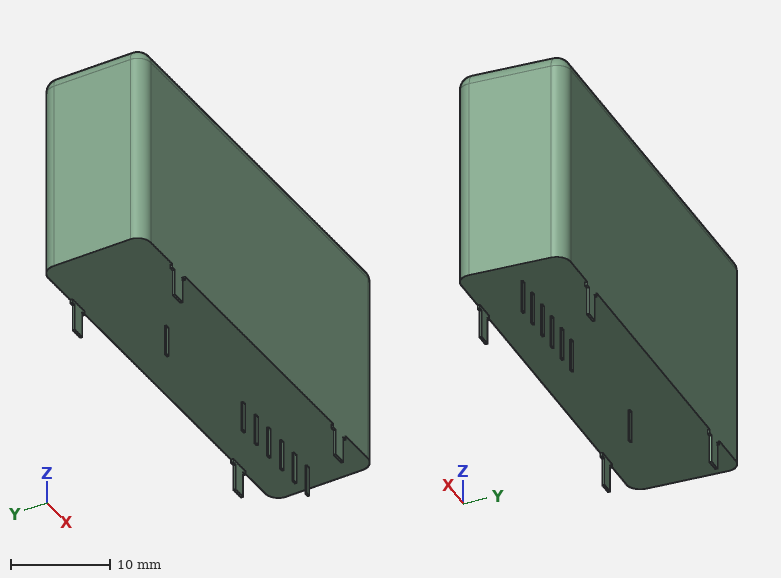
import cadquery as cq

length = 46.0
depth = 12.0
total_height = 27.5
pin_length = 3.5
housing_height = total_height - pin_length
edge_radius = 1.5

pin_width = 0.5
pin_thickness = 0.2
pin_pitch = 2.55
pin_group_start = 7.0
pin_group_count = 6
lone_pin_offset = 6

tab_x = 15.9
tab_width = 1.5
tab_thickness = 0.25
shoulder_width = 2.5
shoulder_height = 0.4


def make_housing():
    """Block rounded on its vertical and top edges, sharp underneath."""
    block = cq.Workplane("XY").box(length, depth, housing_height, centered=(True, True, False))
    return block.edges("|Z or >Z").fillet(edge_radius)


def hanging_blade(x, y, width, thickness, drop):
    """Rectangular blade hanging down from the housing underside."""
    return cq.Workplane("XY").center(x, y).rect(width, thickness).extrude(-drop)


def make_tab(x, y):
    """Mounting tab with a wider shoulder against the housing."""
    leg = hanging_blade(x, y, tab_width, tab_thickness, pin_length)
    shoulder = hanging_blade(x, y, shoulder_width, tab_thickness, shoulder_height)
    return leg.union(shoulder)


result = make_housing()

pin_positions = [pin_group_start + i * pin_pitch for i in range(pin_group_count)]
pin_positions.append(pin_group_start - lone_pin_offset * pin_pitch)
for pin_x in pin_positions:
    result = result.union(hanging_blade(pin_x, 0, pin_width, pin_thickness, pin_length))

tab_y = (depth - tab_thickness) / 2
for x_side in (-1, 1):
    for y_side in (-1, 1):
        result = result.union(make_tab(x_side * tab_x, y_side * tab_y))